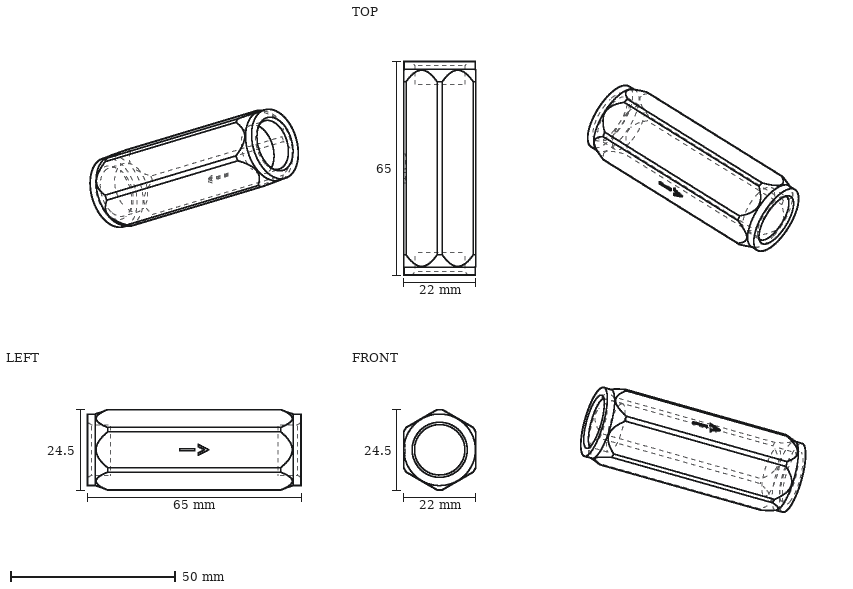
import cadquery as cq
import math

length = 65.0
across_flats = 22.0
across_corners = 24.5

collar_diameter = 21.8
collar_length = 2.4
shoulder_angle = 20.0

bore_diameter = 15.35
bore_depth = 7.0
bore_mouth_diameter = 16.8
bore_mouth_depth = 1.25

engraving_depth = 0.5
shaft_start = 4.4
shaft_end = -0.1
shaft_width = 0.65
head_base = -1.25
head_tip = -4.4
head_height = 3.25
head_notch = 1.35


def hexagon_body():
    """Hexagonal bar with flats facing +X and -X."""
    hexagon_diameter = across_flats / math.cos(math.radians(30))
    return (
        cq.Workplane("XZ")
        .transformed(rotate=(0, 0, 30))
        .polygon(6, hexagon_diameter)
        .extrude(length / 2, both=True)
    )


def turned_envelope():
    """Revolved profile that trims the bar to collars, shoulders and rounded corners."""
    collar_radius = collar_diameter / 2
    corner_radius = across_corners / 2
    shoulder_length = (corner_radius - collar_radius) / math.tan(math.radians(shoulder_angle))
    end = length / 2
    collar_inner = end - collar_length
    corner_end = collar_inner - shoulder_length
    profile = [
        (0, -end),
        (collar_radius, -end),
        (collar_radius, -collar_inner),
        (corner_radius, -corner_end),
        (corner_radius, corner_end),
        (collar_radius, collar_inner),
        (collar_radius, end),
        (0, end),
    ]
    return cq.Workplane("XY").polyline(profile).close().revolve(360, (0, 0, 0), (0, 1, 0))


def end_bore():
    """Flat-bottomed bore with a chamfered mouth, in the -Y end."""
    bore_radius = bore_diameter / 2
    mouth = -length / 2
    profile = [
        (0, mouth),
        (bore_mouth_diameter / 2, mouth),
        (bore_radius, mouth + bore_mouth_depth),
        (bore_radius, mouth + bore_depth),
        (0, mouth + bore_depth),
    ]
    return cq.Workplane("XY").polyline(profile).close().revolve(360, (0, 0, 0), (0, 1, 0))


def arrow_engraving():
    """Shaft bar and open arrow head, as a cutter sunk into the -X flat."""
    flat = cq.Workplane("YZ", origin=(-across_flats / 2, 0, 0))
    shaft = (
        flat.center((shaft_start + shaft_end) / 2, 0)
        .rect(shaft_start - shaft_end, shaft_width)
        .extrude(engraving_depth)
    )
    half_height = head_height / 2
    inner_tip = head_tip + head_notch
    inner_half_height = half_height * (head_base - inner_tip) / (head_base - head_tip)
    head_outline = [
        (head_base, half_height),
        (head_tip, 0),
        (head_base, -half_height),
        (head_base, -inner_half_height),
        (inner_tip, 0),
        (head_base, inner_half_height),
    ]
    head = flat.polyline(head_outline).close().extrude(engraving_depth)
    return shaft.add(head).combine()


bore = end_bore()
result = (
    hexagon_body()
    .intersect(turned_envelope())
    .cut(bore)
    .cut(bore.mirror("XZ"))
    .cut(arrow_engraving())
)